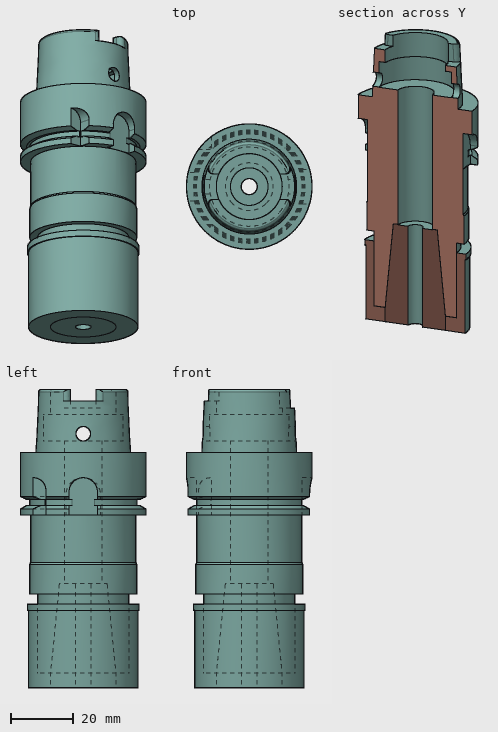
import cadquery as cq

overall_height = 95.0
taper_length = 20.0
flange_height = 19.95
flange_top = overall_height - taper_length
flange_bottom = flange_top - flange_height

taper_base_radius = 30.2 / 2
taper_top_radius = 28.3 / 2
taper_top_rounding = 0.9
lip_radius = 21.0 / 2
lip_depth = 8.1
chamber_radius = 12.6
chamber_depth = 16.5
chamber_floor = overall_height - chamber_depth
cross_hole_diameter = 4.6
cross_hole_depth = 14.2

drive_slot_width = 8.1
drive_slot_rounding = 1.5
left_drive_slot_depth = 3.7
right_drive_slot_depth = 6.0

flange_radius = 40.0 / 2
groove_radius = 17.1
groove_step_radius = 18.05
groove_top_edge_depth = 14.1
groove_floor_top_depth = 15.0
groove_floor_bottom_depth = 16.9
groove_bottom_edge_depth = 18.05

keyway_top_depth = 8.1
keyway_floor_distance = 16.7
left_keyway_width = 9.0
right_keyway_width = 11.0
side_notch_width = 8.0
side_notch_offset = 15.9
side_notch_floor_distance = 12.0

body_radius = 33.5 / 2
collar_radius = 34.1 / 2
collar_bottom = 29.8
collar_top = 39.3
collar_chamfer_height = 0.6
neck_radius = 29.1 / 2
neck_bottom = 4.75
passage_radius = 12.0 / 2

nut_radius = 34.9 / 2
nut_rim_radius = 35.5 / 2
nut_top = 26.7
nut_rim_bottom = 24.7

collet_top = 33.25
collet_top_radius = 7.6
collet_nose_radius = 10.45
collet_bore_diameter = 5.0


def revolve_profile(points):
    """Closed (radius, height) outline turned about the Z axis."""
    return cq.Workplane("XZ").polyline(points).close().revolve(360, (0, 0, 0), (0, 1, 0))


def make_taper():
    """Tapered shank, still solid: rounded end, and a drive slot across each side."""
    cone = revolve_profile([
        (0, flange_top),
        (taper_base_radius, flange_top),
        (taper_top_radius, overall_height),
        (0, overall_height),
    ])
    slotted_cone = cone
    for side, depth in ((-1, left_drive_slot_depth), (1, right_drive_slot_depth)):
        slot = (
            cq.Workplane("XY", origin=(side * taper_base_radius, 0, overall_height - depth / 2))
            .box(2 * taper_base_radius, drive_slot_width, depth)
        )
        slotted_cone = slotted_cone.cut(slot)
    slotted_cone = slotted_cone.edges("%HYPERBOLA").fillet(drive_slot_rounding)
    rounded_cone = cone.faces(">Z").edges().fillet(taper_top_rounding)
    return slotted_cone.intersect(rounded_cone)


def make_chamber():
    """Clamping cavity: an entry bore that steps out into a wider chamber."""
    lip_bottom = overall_height - lip_depth
    return revolve_profile([
        (0, chamber_floor),
        (chamber_radius, chamber_floor),
        (chamber_radius, lip_bottom),
        (lip_radius, lip_bottom),
        (lip_radius, overall_height),
        (0, overall_height),
    ])


def make_turned_body():
    """Gripper flange with its stepped V groove, cylindrical body with its collar, and neck."""
    return revolve_profile([
        (0, flange_top),
        (flange_radius, flange_top),
        (flange_radius, flange_top - groove_top_edge_depth),
        (groove_step_radius, flange_top - groove_floor_top_depth),
        (groove_radius, flange_top - groove_floor_top_depth),
        (groove_radius, flange_top - groove_floor_bottom_depth),
        (groove_step_radius, flange_top - groove_floor_bottom_depth),
        (flange_radius, flange_top - groove_bottom_edge_depth),
        (flange_radius, flange_bottom),
        (body_radius, flange_bottom),
        (body_radius, collar_top + collar_chamfer_height),
        (collar_radius, collar_top),
        (collar_radius, collar_bottom),
        (neck_radius, collar_bottom),
        (neck_radius, neck_bottom),
        (0, neck_bottom),
    ])


def make_keyway(side, floor_distance, width, offset=0):
    """Cutter for a keyway open at the flange rim and bottom, with a round upper end.

    Its flat floor is normal to X, and side is -1 or 1 for the rim it opens to.
    """
    arch_center = flange_top - keyway_top_depth - width / 2
    straight_height = arch_center - flange_bottom
    cut_depth = flange_radius - floor_distance
    floor = cq.Workplane("YZ", origin=(side * floor_distance, offset, arch_center))
    arch = floor.circle(width / 2).extrude(side * cut_depth)
    straight = (
        floor.center(0, -straight_height / 2)
        .rect(width, straight_height)
        .extrude(side * cut_depth)
    )
    return arch.union(straight)


def make_collet_seat():
    """Space the collet fills inside the holder and the nut."""
    return revolve_profile([
        (0, 0),
        (collet_nose_radius, 0),
        (collet_nose_radius, neck_bottom),
        (collet_top_radius, collet_top),
        (0, collet_top),
    ])


def make_collet():
    """Tapered clamping collet: it fills its seat, around a straight bore."""
    bore = cq.Workplane("XY").circle(collet_bore_diameter / 2).extrude(collet_top)
    return make_collet_seat().cut(bore)


def make_holder():
    """Hollow-taper tool holder: shank, flange and body, with all its cuts."""
    holder = make_turned_body().union(make_taper()).cut(make_chamber())
    holder = holder.cut(make_keyway(-1, keyway_floor_distance, left_keyway_width))
    holder = holder.cut(make_keyway(1, keyway_floor_distance, right_keyway_width))
    holder = holder.cut(
        make_keyway(-1, side_notch_floor_distance, side_notch_width, side_notch_offset)
    )
    cross_hole = (
        cq.Workplane("YZ", origin=(0, 0, overall_height - cross_hole_depth))
        .circle(cross_hole_diameter / 2)
        .extrude(flange_radius, both=True)
    )
    passage = cq.Workplane("XY").circle(passage_radius).extrude(chamber_floor)
    return holder.cut(cross_hole).cut(passage).cut(make_collet_seat())


def make_nut():
    """Clamping nut: a rimmed cap over the neck, with the collet nose through its end."""
    outside = revolve_profile([
        (0, 0),
        (nut_radius, 0),
        (nut_radius, nut_rim_bottom),
        (nut_rim_radius, nut_rim_bottom),
        (nut_rim_radius, nut_top),
        (0, nut_top),
    ])
    neck_socket = (
        cq.Workplane("XY", origin=(0, 0, neck_bottom))
        .circle(neck_radius)
        .extrude(nut_top - neck_bottom)
    )
    return outside.cut(neck_socket).cut(make_collet_seat())


holder = make_holder()
nut = make_nut()
collet = make_collet()

result = cq.Compound.makeCompound([holder.val(), nut.val(), collet.val()])